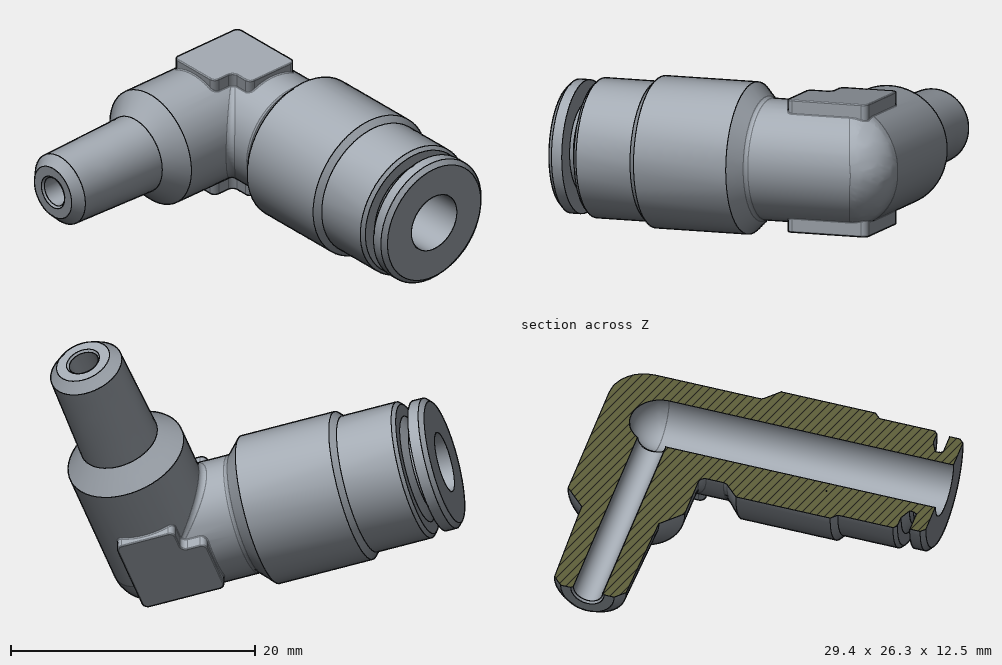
import cadquery as cq
import math


overall_x = 29.35
overall_y = 26.25

body_radius = 10.0 / 2
outer_corner_radius = 3.0
inner_corner_radius = 0.5

socket_radius = 12.5 / 2
shoulder_end = 8.42
shoulder_start = shoulder_end - (socket_radius - body_radius)
shoulder_blend_radius = 0.5
socket_end = 16.5
cap_radius = 11.5 / 2
cap_start = socket_end + socket_radius - cap_radius
cap_end = 22.0
cap_chamfer = 0.3

collar_radius = 7.1 / 2
collar_cone_radius = 4.45
collar_cone_end = 22.45
flange_radius = 11.0 / 2
flange_start = 23.05
flange_foot_length = 0.25
flange_foot_height = 0.15
flange_chamfer = 0.38
run_end = overall_x - body_radius

stem_cone_start = 9.3
stem_root_radius = 6.63 / 2
stem_start = stem_cone_start + body_radius - stem_root_radius
stem_tip_radius = 6.15 / 2
stem_chamfer = 0.8
stem_end = overall_y - socket_radius

run_bore_radius = 5.0 / 2
stem_bore_radius = 2.5 / 2
stem_bore_chamfer = 0.18

pad_half_width = 2.5
pad_reach = 4.55
pad_top = 11.0 / 2
pad_corner_radius = 0.5
pad_edge_radius = 0.1

mitre_round_height = 4.58


def mitred_body():
    """Two equal cylinders joined at a mitre, with both mitre edges rounded."""
    run_leg = cq.Workplane("YZ", origin=(-body_radius, 0, 0))
    run_leg = run_leg.circle(body_radius).extrude(body_radius + shoulder_start)
    stem_leg = cq.Workplane("XZ", origin=(0, body_radius, 0))
    stem_leg = stem_leg.circle(body_radius).extrude(body_radius + stem_cone_start)

    reach = overall_x
    run_side = (
        cq.Workplane("XY")
        .polyline([(-reach, reach), (reach, reach), (reach, -reach)])
        .close()
        .extrude(reach, both=True)
    )
    body = run_leg.intersect(run_side).union(stem_leg.cut(run_side))

    slab = cq.Workplane("XY").box(2 * reach, 2 * reach, 2 * mitre_round_height)
    middle = body.intersect(slab)
    middle = middle.edges("%ELLIPSE").edges("<X").fillet(outer_corner_radius)
    middle = middle.edges("%ELLIPSE").edges(">X").fillet(inner_corner_radius)
    return middle.union(body.cut(slab))


def pad_pair():
    """Both L-shaped pads as one block passing through the body."""
    outline = [
        (-pad_half_width, pad_half_width),
        (pad_reach, pad_half_width),
        (pad_reach, -pad_half_width),
        (pad_half_width, -pad_half_width),
        (pad_half_width, -pad_reach),
        (-pad_half_width, -pad_reach),
    ]
    block = cq.Workplane("XY").polyline(outline).close().extrude(pad_top, both=True)
    block = block.edges("|Z").fillet(pad_corner_radius)
    return block.faces("<Z or >Z").edges().fillet(pad_edge_radius)


def blend_pad_feet(body):
    """Round the inside corner where each pad meets the body."""
    margin = pad_edge_radius / 10
    low = -pad_half_width - margin
    high = pad_reach + margin
    for side in (1, -1):
        foot = cq.selectors.BoxSelector(
            (low, -high, 0),
            (high, -low, side * (body_radius + margin)),
            boundingbox=True,
        )
        body = body.edges(foot).fillet(pad_edge_radius)
    return body


def socket_and_collar():
    """Turned run end: shoulder blend, socket, cap and flanged release collar."""
    blend_start = shoulder_start - shoulder_blend_radius * math.tan(math.pi / 8)

    def blend_point(angle):
        """Point on the concave arc, turned by angle from the body wall."""
        return (
            blend_start + shoulder_blend_radius * math.sin(angle),
            body_radius + shoulder_blend_radius * (1 - math.cos(angle)),
        )

    outline = (
        cq.Workplane("XY")
        .moveTo(blend_start, 0)
        .lineTo(blend_start, body_radius)
        .threePointArc(blend_point(math.pi / 8), blend_point(math.pi / 4))
        .lineTo(shoulder_end, socket_radius)
        .lineTo(socket_end, socket_radius)
        .lineTo(cap_start, cap_radius)
        .lineTo(cap_end - cap_chamfer, cap_radius)
        .lineTo(cap_end, cap_radius - cap_chamfer)
        .lineTo(cap_end, collar_cone_radius)
        .lineTo(collar_cone_end, collar_radius)
        .lineTo(flange_start - flange_foot_length, collar_radius)
        .lineTo(flange_start, collar_radius + flange_foot_height)
        .lineTo(flange_start, flange_radius)
        .lineTo(run_end - flange_chamfer, flange_radius)
        .lineTo(run_end, flange_radius - flange_chamfer)
        .lineTo(run_end, 0)
        .close()
    )
    return outline.revolve(360, (0, 0, 0), (1, 0, 0))


def tapered_stem():
    """Turned stem: cone down from the body, slight taper and chamfered tip."""
    outline = [
        (0, -stem_cone_start),
        (body_radius, -stem_cone_start),
        (stem_root_radius, -stem_start),
        (stem_tip_radius, -(stem_end - stem_chamfer)),
        (stem_tip_radius - stem_chamfer, -stem_end),
        (0, -stem_end),
    ]
    return cq.Workplane("XY").polyline(outline).close().revolve(360, (0, 0, 0), (0, 1, 0))


def flow_passage():
    """Round-ended run bore met by the narrower stem bore."""
    run_bore = cq.Workplane("YZ").circle(run_bore_radius).extrude(run_end)
    ball_end = cq.Workplane("XY").sphere(run_bore_radius)
    stem_bore = cq.Workplane("XZ").circle(stem_bore_radius).extrude(stem_end)
    mouth = (
        cq.Workplane("XZ", origin=(0, -stem_end, 0))
        .circle(stem_bore_radius + stem_bore_chamfer)
        .workplane(offset=-stem_bore_chamfer)
        .circle(stem_bore_radius)
        .loft()
    )
    return run_bore.union(ball_end).union(stem_bore).union(mouth)


elbow = blend_pad_feet(mitred_body().union(pad_pair()))
result = elbow.union(socket_and_collar()).union(tapered_stem()).cut(flow_passage())